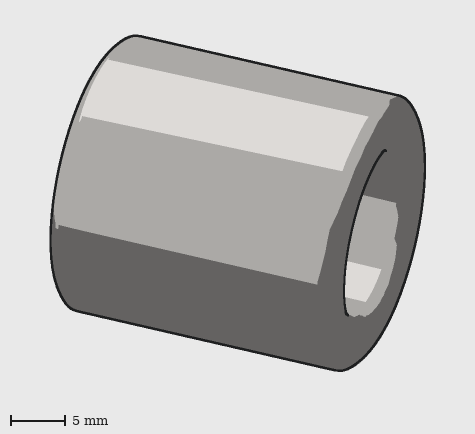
import cadquery as cq

length = 28.5
outer_diameter = 26.0
bore_diameter = 15.5

crown_height = 1.3
edge_blend = 0.5

outer_radius = outer_diameter / 2
bore_radius = bore_diameter / 2
mid_radius = (outer_radius + bore_radius) / 2
end_x = length / 2
shoulder_x = end_x - crown_height

wall_section = (
    cq.Workplane("XY")
    .moveTo(-shoulder_x, bore_radius)
    .lineTo(shoulder_x, bore_radius)
    .threePointArc((end_x, mid_radius), (shoulder_x, outer_radius))
    .lineTo(-shoulder_x, outer_radius)
    .threePointArc((-end_x, mid_radius), (-shoulder_x, bore_radius))
    .close()
)
sleeve = wall_section.revolve(360, (0, 0, 0), (1, 0, 0))

result = sleeve.edges("%CIRCLE").fillet(edge_blend)